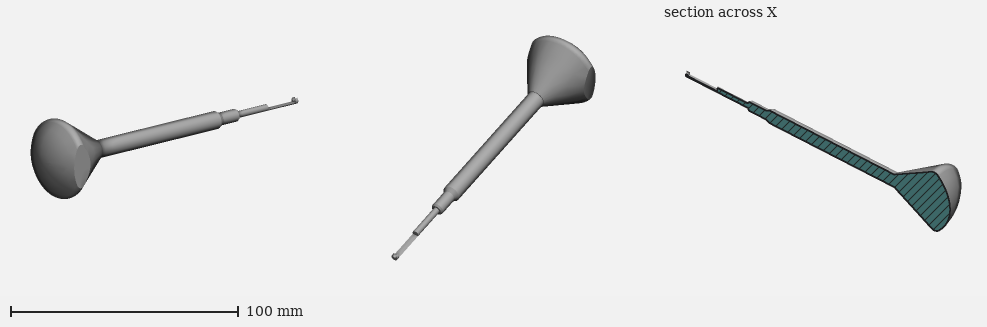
import cadquery as cq
import math

total_length = 144.0

knob_diameter = 36.0
knob_width = 30.0
rim_radius = 3.0
rim_position = 8.8
cone_base_position = 30.1
cone_base_radius = 4.3

shaft_radius = 4.0
neck_radius = 2.9
neck_chamfer_length = 0.9
neck_chamfer_depth = 0.6
rod_diameter = 3.0
rod_radius = rod_diameter / 2
rod_length = 34.0
neck_length = 10.0
shoulder_length = 2.0

blade_length = 17.0
blade_thickness = 0.9
lip_thickness = 1.5
notch_radius = 0.9
notch_center_height = 0.9

neck_end = total_length - rod_length
neck_start = neck_end - neck_length
shaft_end = neck_start - shoulder_length


def make_turned_body():
    """Revolve the half outline, drawn as (radius, position along Y), about the Y axis."""
    rim_center_radius = knob_diameter / 2 - rim_radius

    dome_radius = (rim_position**2 + rim_center_radius**2 - rim_radius**2) / 2 / (rim_position - rim_radius)
    dome_angle = math.asin(rim_center_radius / (dome_radius - rim_radius))

    cone_run = cone_base_position - rim_position
    cone_rise = rim_center_radius - cone_base_radius
    cone_angle = math.atan2(cone_rise, cone_run) + math.asin(rim_radius / math.hypot(cone_run, cone_rise))

    def dome_point(angle):
        return (dome_radius * math.sin(angle), dome_radius * (1 - math.cos(angle)))

    rim_crest = (knob_diameter / 2, rim_position)
    cone_end = (
        rim_center_radius + rim_radius * math.cos(cone_angle),
        rim_position + rim_radius * math.sin(cone_angle),
    )
    return (
        cq.Workplane("XY")
        .moveTo(0, 0)
        .threePointArc(dome_point(dome_angle / 2), dome_point(dome_angle))
        .threePointArc(rim_crest, cone_end)
        .lineTo(cone_base_radius, cone_base_position)
        .lineTo(shaft_radius, cone_base_position)
        .lineTo(shaft_radius, shaft_end)
        .lineTo(neck_radius, neck_start)
        .lineTo(neck_radius, neck_end - neck_chamfer_length)
        .lineTo(neck_radius - neck_chamfer_depth, neck_end)
        .lineTo(rod_radius, neck_end)
        .lineTo(rod_radius, total_length)
        .lineTo(0, total_length)
        .close()
        .revolve(360, (0, 0, 0), (0, 1, 0))
    )


def cut_knob_flats(body):
    """Trim everything outside the knob width."""
    keep = cq.Workplane("XY").box(knob_width, total_length, knob_diameter, centered=(True, False, True))
    return body.intersect(keep)


def cut_blade(body):
    """Remove the upper part of the rod, leaving the blade and the lip at the tip."""
    cut_length = blade_length - lip_thickness
    cutter = (
        cq.Workplane("XY", origin=(0, total_length - blade_length, blade_thickness - rod_radius))
        .box(rod_diameter, cut_length, rod_diameter, centered=(True, False, False))
    )
    return body.cut(cutter)


def cut_lip_notch(body):
    """Scoop a round groove along Y out of the top of the lip."""
    cutter = (
        cq.Workplane("XZ", origin=(0, total_length, 0))
        .center(0, notch_center_height)
        .circle(notch_radius)
        .extrude(lip_thickness)
    )
    return body.cut(cutter)


result = cut_lip_notch(cut_blade(cut_knob_flats(make_turned_body())))